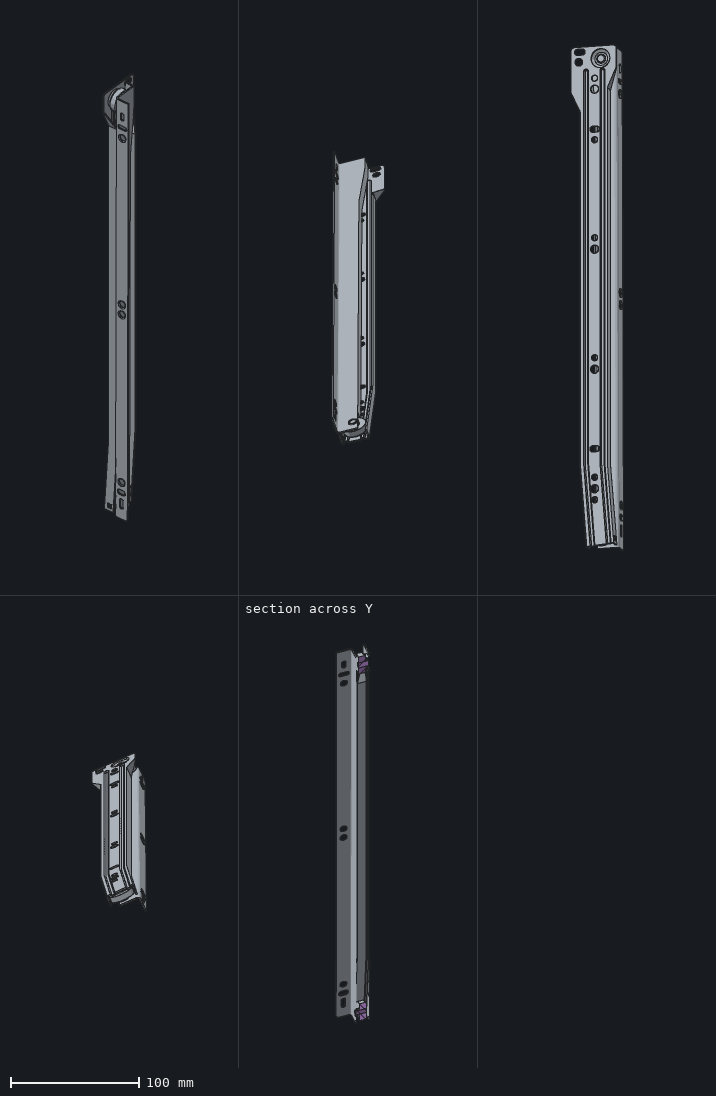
import cadquery as cq

length = 401.0
sheet = 1.2

channel_low, channel_high = 7.2, 30.0
channel_depth = 9.0
head_width = 37.0
head_corner = 3.0
low_flare = (367.0, 383.0)
high_flare = (350.5, 364.5)
foot_bend = 66.5
foot_drop = 5.2
foot_rise = 1.8
edge_bevel = 1.0

groove_width, groove_depth = 4.0, 1.2
groove_taper = 40.0
groove_places = (11.2, 24.5)
groove_top = 381.0

web_hole_y = 17.5
small_hole, large_hole = 5.0, 6.5
slot_length = 7.5
small_hole_z = (375.5, 326.0, 247.5, 151.2, 55.5, 37.5)
large_hole_z = (366.5, 238.2, 142.0, 46.0)
slot_z = (334.5, 78.2)
head_slot = (29.5, 397.0)
head_slot_length = 8.5
head_hole = (30.5, 389.0)
head_hole_size = 6.0
foot_window = (5.0, 6.5)
foot_window_size = 3.5

rail_sheet = 1.2
rail_x = 11.0
rail_width = 24.0
rail_low = 1.0
rail_bottom = 0.6
rail_tilt = 0.17
rail_bend = 2.6
rail_corner = 1.2
lip_x = 3.5
lip_y, lip_flare_y = 18.5, 23.3
lip_bottom = 24.0
lip_flare = (337.0, 385.0)

flange_hole_x = 18.0
screw_hole, screw_sink = 5.5, 7.2
sink_depth = 1.0
narrow_slot = 3.5
wide_slot = 5.0
screw_z = (365.8, 206.0, 196.5, 35.5)
upright_slots = ((386.2, 7.2), (15.2, 9.5))
cross_slots = ((376.0, 9.0, narrow_slot), (26.0, 8.0, wide_slot))

roller_radius, roller_width = 9.5, 6.0
roller_chamfer = 1.2
pin_radius = 2.5
pin_head_radius, pin_head_height = 3.5, 1.2
pin_head_chamfer = 1.0
upper_axle = (13.0, 391.0)
lower_axle = (14.5, 11.5)
upper_roller_x = 3.5
lower_roller_x = 3.0
dish_radius, dish_floor_radius = 7.5, 5.2
hub_radius = 4.5


def plate(points, x_start, x_end):
    """Flat plate with an outline in Y and Z."""
    return cq.Workplane("YZ").workplane(offset=x_start).polyline(points).close().extrude(x_end - x_start)


def disc(axle, radius, x_start, x_end):
    """Cylinder along X."""
    return cq.Workplane("YZ", origin=(x_start, *axle)).circle(radius).extrude(x_end - x_start)


def cone(axle, x_start, start_radius, x_end, end_radius):
    """Cone frustum along X."""
    profile = [(x_start, 0), (x_start, start_radius), (x_end, end_radius), (x_end, 0)]
    return cq.Workplane("XY").polyline(profile).close().revolve(360, (0, 0), (1, 0)).translate((0, *axle))


def web_slot(place, slot_len, width):
    """Cutter for a slot across the channel web."""
    cutter = cq.Workplane("YZ", origin=(-sheet, *place)).slot2D(slot_len, width)
    return cutter.extrude(3 * sheet)


def low_edge(inset):
    return [
        (channel_low - foot_drop + inset, foot_rise),
        (channel_low + inset, foot_bend),
        (channel_low + inset, low_flare[0]),
        (inset, low_flare[1]),
    ]


def high_edge(inset):
    return [
        (channel_high - foot_drop - inset, 0),
        (channel_high - inset, foot_bend),
        (channel_high - inset, high_flare[0]),
        (head_width - inset, high_flare[1]),
    ]


def channel_web():
    outline = low_edge(0) + [(0, length), (head_width, length)] + high_edge(0)[::-1]
    return plate(outline, 0, sheet).edges("|X and >Z").fillet(head_corner)


def channel_flange(edge, flare):
    """Side wall along one edge, running out to nothing along the flare."""
    wall = plate(edge(0) + edge(sheet)[::-1], 0, channel_depth)
    run_out = [(channel_depth, flare[0]), (sheet, flare[1]), (sheet, length), (channel_depth, length)]
    cutter = cq.Workplane("XZ").polyline(run_out).close().extrude(-length)
    return wall.cut(cutter)


def groove(y, x_start):
    """Tapered bead with a round top end, following the slanted foot and overrunning its end."""
    half = groove_width / 2
    overrun = groove_width
    end_z = -overrun
    end_y = y - foot_drop * (foot_bend + overrun) / foot_bend
    bead = (
        cq.Workplane("YZ", origin=(x_start, 0, 0))
        .moveTo(end_y - half, end_z)
        .lineTo(y - half, foot_bend)
        .lineTo(y - half, groove_top)
        .threePointArc((y, groove_top + half), (y + half, groove_top))
        .lineTo(y + half, foot_bend)
        .lineTo(end_y + half, end_z)
        .close()
    )
    return bead.extrude(groove_depth, taper=groove_taper)


def foot_trim():
    """Everything below the square-cut end of the foot."""
    foot_low = channel_low - foot_drop
    foot_high = channel_high - foot_drop
    below = -length / 10
    slope = foot_rise / (foot_high - foot_low)
    past_low = (0, foot_rise + slope * foot_low)
    past_high = (head_width, -slope * (head_width - foot_high))
    return plate([past_low, past_high, (head_width, below), (0, below)], 0, channel_depth)


def make_channel():
    high_wall = channel_flange(high_edge, high_flare)
    body = channel_web().union(channel_flange(low_edge, low_flare)).union(high_wall)
    middle = (foot_bend + high_flare[0]) / 2
    high_corner = cq.selectors.NearestToPointSelector((0, channel_high, middle))
    body = body.edges("|Z").edges(high_corner).chamfer(edge_bevel)
    for y in groove_places:
        body = body.union(groove(y, sheet)).cut(groove(y, 0))
    body = body.cut(foot_trim())

    floor_x = upper_roller_x - sheet
    dish_outer = cone(upper_axle, sheet, dish_radius, upper_roller_x, dish_floor_radius)
    dish_inner = cone(upper_axle, 0, dish_radius, floor_x, dish_floor_radius)
    body = body.union(dish_outer).cut(dish_inner)
    body = body.cut(disc(upper_axle, pin_radius, 0, channel_depth))

    for z in small_hole_z:
        body = body.cut(disc((web_hole_y, z), small_hole / 2, -sheet, 2 * sheet))
    for z in large_hole_z:
        body = body.cut(disc((web_hole_y, z), large_hole / 2, -sheet, 2 * sheet))
    for z in slot_z:
        body = body.cut(web_slot((web_hole_y, z), slot_length, small_hole))
    body = body.cut(web_slot(head_slot, head_slot_length, small_hole))
    body = body.cut(disc(head_hole, head_hole_size / 2, -sheet, 2 * sheet))

    window = cq.Workplane("XY").box(foot_window_size, 2 * channel_low, foot_window_size)
    return body.cut(window.translate((foot_window[0], 0, foot_window[1])))


def flange_slot(z, size_x, size_z):
    """Cutter for a slot through the rail flange, long in X or in Z."""
    angle = 0 if size_x > size_z else 90
    cutter = cq.Workplane("XZ", origin=(flange_hole_x, 0, z))
    return cutter.slot2D(max(size_x, size_z), min(size_x, size_z), angle).extrude(-2 * rail_bend)


def screw_cutter(z):
    """Countersunk screw hole, wide on the outer face of the flange."""
    hole = screw_hole / 2
    sink = screw_sink / 2
    top = rail_low + rail_bend
    profile = [
        (0, rail_low), (sink, rail_low), (hole, rail_low + sink_depth), (hole, top), (0, top)
    ]
    cutter = cq.Workplane("XY").polyline(profile).close().revolve(360, (0, 0), (0, 1))
    return cutter.translate((flange_hole_x, 0, z))


def make_rail():
    inner_x = rail_x + rail_sheet
    top_of_flange = rail_low + rail_sheet
    rail_length = length - rail_bottom

    web = plate(
        [
            (rail_low, rail_bottom), (lip_y, rail_bottom), (lip_y, lip_flare[0]),
            (lip_flare_y, lip_flare[1]), (lip_flare_y, length), (rail_low, length),
        ],
        rail_x, inner_x,
    )
    lip = plate(
        [
            (lip_y, lip_bottom), (lip_y, lip_flare[0]), (lip_flare_y, lip_flare[1]), (lip_flare_y, length),
            (lip_flare_y - rail_sheet, length), (lip_flare_y - rail_sheet, lip_flare[1]),
            (lip_y - rail_sheet, lip_flare[0]), (lip_y - rail_sheet, lip_bottom),
        ],
        lip_x, inner_x,
    )

    inner_bend = rail_bend - rail_sheet
    angle = (
        cq.Workplane("XY", origin=(0, 0, rail_bottom))
        .moveTo(rail_x, rail_low + rail_bend)
        .radiusArc((rail_x + rail_bend, rail_low), -rail_bend)
        .lineTo(rail_width, rail_low)
        .lineTo(rail_width, top_of_flange)
        .lineTo(inner_x + inner_bend, top_of_flange)
        .radiusArc((inner_x, top_of_flange + inner_bend), inner_bend)
        .close()
        .extrude(rail_length)
    )
    low_corner = cq.Workplane("XY").box(rail_bend, 2 * rail_bend, 2 * length)
    low_corner = low_corner.translate((rail_x + rail_bend / 2, rail_low, length / 2))
    body = web.cut(low_corner).union(lip).union(angle)
    body = body.edges("|Y and >X and <Z").chamfer(rail_corner)

    for z in screw_z:
        body = body.cut(screw_cutter(z))
    for z, slot_len in upright_slots:
        body = body.cut(flange_slot(z, narrow_slot, slot_len))
    for z, slot_len, width in cross_slots:
        body = body.cut(flange_slot(z, slot_len, width))

    body = body.rotate((0, rail_low, rail_bottom), (1, rail_low, rail_bottom), -rail_tilt)

    hub_x = lower_roller_x + roller_width
    body = body.union(disc(lower_axle, hub_radius, hub_x, inner_x))
    body = body.cut(disc(lower_axle, pin_radius, hub_x, inner_x))
    return body.cut(disc(lower_axle, pin_head_radius, inner_x - pin_head_height, inner_x))


def make_roller(axle, x_start):
    roller = disc(axle, roller_radius, x_start, x_start + roller_width)
    roller = roller.faces("<X").edges().chamfer(roller_chamfer)
    return roller.cut(disc(axle, pin_radius, x_start, x_start + roller_width))


def make_pin(axle, head_x, head_end, tip_x):
    """Pin with its head between head_x, the outer face, and head_end, and its shank up to tip_x."""
    shank = disc(axle, pin_radius, min(head_x, tip_x), max(head_x, tip_x))
    head = disc(axle, pin_head_radius, min(head_x, head_end), max(head_x, head_end))
    outer_rim = "<X" if head_x < head_end else ">X"
    head = head.faces(outer_rim).edges().chamfer(pin_head_chamfer)
    return head.union(shank)


channel = make_channel()
rail = make_rail()
rollers = [make_roller(upper_axle, upper_roller_x), make_roller(lower_axle, lower_roller_x)]
upper_seat = upper_roller_x - sheet
lower_head = rail_x + rail_sheet
pins = [
    make_pin(upper_axle, upper_seat - pin_head_height, upper_seat, upper_roller_x + roller_width),
    make_pin(lower_axle, lower_head, lower_head - pin_head_height, lower_roller_x),
]

result = cq.Compound.makeCompound(
    [channel.val(), rail.val()] + [roller.val() for roller in rollers] + [pin.val() for pin in pins]
)